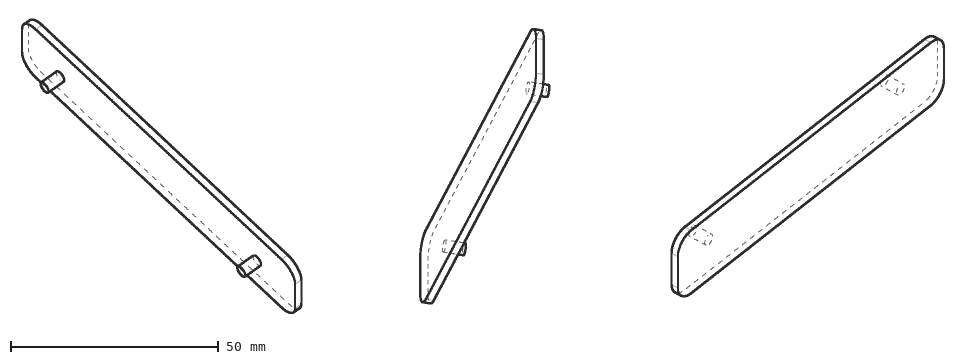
import cadquery as cq

plate_length = 100.0
plate_height = 20.0
plate_thickness = 2.0
corner_radius = 5.0

pin_diameter = 3.0
pin_length = 5.0
pin_spacing = 72.0


def make_plate():
    """Rounded plate with its front face on the XZ plane, thickness toward +Y."""
    return (
        cq.Workplane("XY")
        .box(plate_length, plate_thickness, plate_height, centered=(True, False, True))
        .edges("|Y")
        .fillet(corner_radius)
    )


def make_pins():
    """Two pins standing on the front face, pointing toward -Y."""
    return (
        cq.Workplane("XZ")
        .pushPoints([(-pin_spacing / 2, 0), (pin_spacing / 2, 0)])
        .circle(pin_diameter / 2)
        .extrude(pin_length)
    )


result = make_plate().union(make_pins())